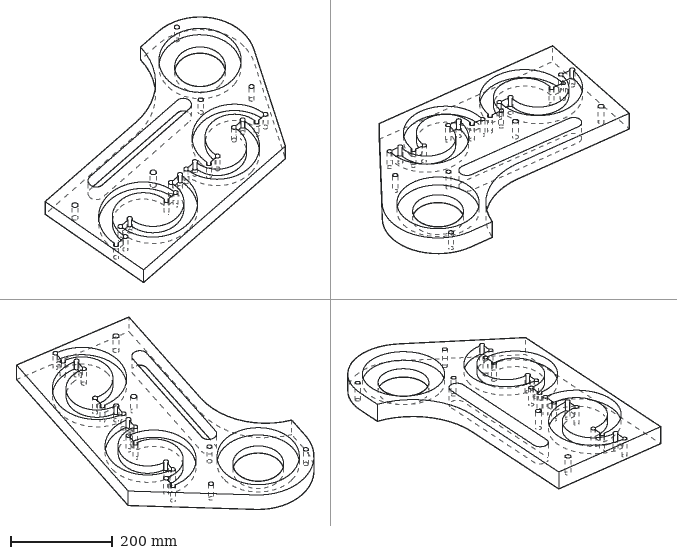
import cadquery as cq
import math


THICKNESS = 40.0
HEAD_RADIUS = 110.0
RIGHT_X = 270.0
RIGHT_TOP_Y = -50.0
BOTTOM_Y = -470.0
NECK_X = 10.0
NECK_RADIUS = 150.0
NECK_TOP_Y = -200.0

BORE_DIAMETER = 100.0
BEARING_SEAT_DIAMETER = 162.0
BEARING_SEAT_DEPTH = 20.0

SLOT_X = 50.0
SLOT_WIDTH = 32.0
SLOT_TOP_Y = -89.5
SLOT_BOTTOM_Y = -379.5

SMALL_HOLE_DIAMETER = 10.0
SMALL_HOLE_CENTERS = [(-90.0, 32.5), (120.0, 18.0), (67.5, -73.5)]
LARGE_HOLE_DIAMETER = 12.0
LARGE_HOLE_CENTERS = [(120.0, -273.0), (60.0, -437.5)]

POCKET_DEPTH = 20.0
POCKET_END_LENGTH = 7.0
RELIEF_DIAMETER = 10.0
PAIR_CENTER_X = 175.0
PAIR_OFFSET_X = 5.0
PAIR_OFFSET_Y = 20.0
UPPER_PAIR_Y = -120.0
UPPER_OUTER_RADIUS = 83.5
UPPER_INNER_RADIUS = 58.0
LOWER_PAIR_Y = -350.0
LOWER_OUTER_RADIUS = 88.0
LOWER_INNER_RADIUS = 61.0


def through_cylinders(diameter, centers):
    """Cylinders through the whole thickness at the given centers."""
    return cq.Workplane("XY").pushPoints(centers).circle(diameter / 2).extrude(THICKNESS)


def make_plate():
    """Plate with a round head, a sloping edge tangent to it and a concave neck."""
    corner_distance = math.hypot(RIGHT_X, RIGHT_TOP_Y)
    tangent_angle = math.atan2(RIGHT_TOP_Y, RIGHT_X) + math.acos(HEAD_RADIUS / corner_distance)
    tangent_point = (HEAD_RADIUS * math.cos(tangent_angle), HEAD_RADIUS * math.sin(tangent_angle))
    middle_angle = (tangent_angle + math.pi) / 2
    head_middle = (HEAD_RADIUS * math.cos(middle_angle), HEAD_RADIUS * math.sin(middle_angle))

    neck_center_x = NECK_X - NECK_RADIUS
    neck_end_angle = math.acos((-HEAD_RADIUS - neck_center_x) / NECK_RADIUS)
    neck_end = (-HEAD_RADIUS, NECK_TOP_Y + NECK_RADIUS * math.sin(neck_end_angle))
    neck_middle = (
        neck_center_x + NECK_RADIUS * math.cos(neck_end_angle / 2),
        NECK_TOP_Y + NECK_RADIUS * math.sin(neck_end_angle / 2),
    )

    return (
        cq.Workplane("XY")
        .moveTo(NECK_X, BOTTOM_Y)
        .lineTo(RIGHT_X, BOTTOM_Y)
        .lineTo(RIGHT_X, RIGHT_TOP_Y)
        .lineTo(*tangent_point)
        .threePointArc(head_middle, (-HEAD_RADIUS, 0))
        .lineTo(*neck_end)
        .threePointArc(neck_middle, (NECK_X, NECK_TOP_Y))
        .close()
        .extrude(THICKNESS)
    )


def make_bearing_bore():
    """Through bore with a wider bearing seat sunk from the top face."""
    bore = through_cylinders(BORE_DIAMETER, [(0, 0)])
    seat = (
        cq.Workplane("XY")
        .workplane(offset=THICKNESS - BEARING_SEAT_DEPTH)
        .circle(BEARING_SEAT_DIAMETER / 2)
        .extrude(BEARING_SEAT_DEPTH)
    )
    return bore.union(seat)


def make_slot():
    """Long round-ended slot through the plate."""
    return (
        cq.Workplane("XY")
        .center(SLOT_X, (SLOT_TOP_Y + SLOT_BOTTOM_Y) / 2)
        .slot2D(SLOT_TOP_Y - SLOT_BOTTOM_Y, SLOT_WIDTH, 90)
        .extrude(THICKNESS)
    )


def make_c_pocket(center_x, center_y, outer_radius, inner_radius, open_side):
    """Half-ring pocket with short straight ends and a through relief hole in each corner.

    open_side is +1 when the C opens toward +X and -1 when it opens toward -X.
    """
    end_x = open_side * POCKET_END_LENGTH
    pocket = (
        cq.Workplane("XY", origin=(center_x, center_y, THICKNESS - POCKET_DEPTH))
        .moveTo(end_x, outer_radius)
        .lineTo(0, outer_radius)
        .threePointArc((-open_side * outer_radius, 0), (0, -outer_radius))
        .lineTo(end_x, -outer_radius)
        .lineTo(end_x, -inner_radius)
        .lineTo(0, -inner_radius)
        .threePointArc((-open_side * inner_radius, 0), (0, inner_radius))
        .lineTo(end_x, inner_radius)
        .close()
        .extrude(POCKET_DEPTH)
    )
    corners = [
        (center_x + end_x, center_y + side * radius)
        for side in (1, -1)
        for radius in (outer_radius, inner_radius)
    ]
    return pocket.union(through_cylinders(RELIEF_DIAMETER, corners))


def make_pocket_pair(pair_y, outer_radius, inner_radius, left_shift):
    """Two interlocking C pockets, shifted along Y by left_shift: the left one up, the right one down.

    A negative left_shift swaps the two directions.
    """
    left = make_c_pocket(
        PAIR_CENTER_X + PAIR_OFFSET_X, pair_y + left_shift, outer_radius, inner_radius, 1
    )
    right = make_c_pocket(
        PAIR_CENTER_X - PAIR_OFFSET_X, pair_y - left_shift, outer_radius, inner_radius, -1
    )
    return left.union(right)


result = (
    make_plate()
    .cut(make_bearing_bore())
    .cut(make_slot())
    .cut(through_cylinders(SMALL_HOLE_DIAMETER, SMALL_HOLE_CENTERS))
    .cut(through_cylinders(LARGE_HOLE_DIAMETER, LARGE_HOLE_CENTERS))
    .cut(make_pocket_pair(UPPER_PAIR_Y, UPPER_OUTER_RADIUS, UPPER_INNER_RADIUS, PAIR_OFFSET_Y))
    .cut(make_pocket_pair(LOWER_PAIR_Y, LOWER_OUTER_RADIUS, LOWER_INNER_RADIUS, -PAIR_OFFSET_Y))
)